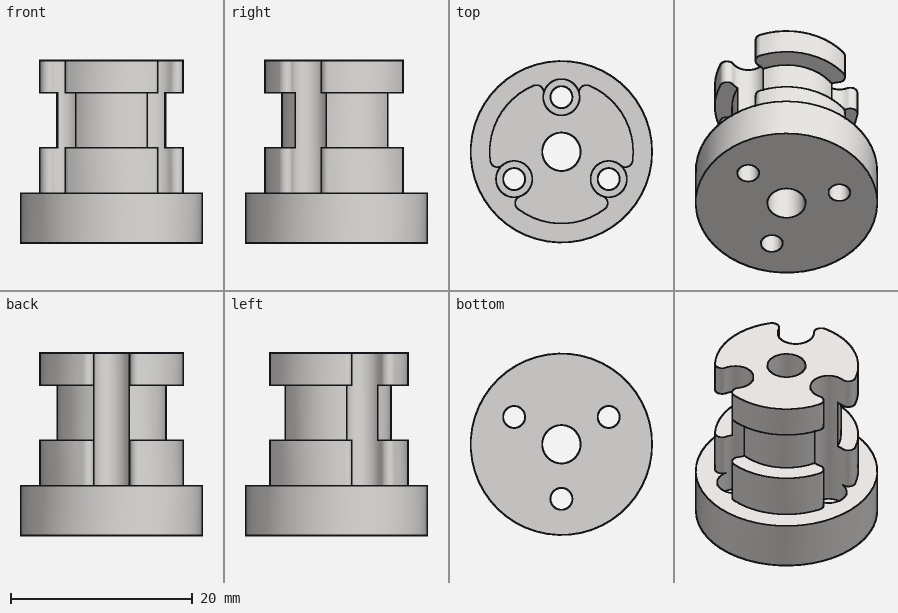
import cadquery as cq
import math

total_height = 20.1
base_diameter = 20.0
base_height = 5.5
flange_diameter = 15.8
lower_flange_height = 5.0
neck_diameter = 12.0
neck_height = 6.0
bore_diameter = 4.2
channel_count = 3
channel_diameter = 4.0
channel_pitch_radius = 6.0
screw_hole_diameter = 2.4
counterbore_depth = 2.5
lip_radius = 0.8

lower_flange_top = base_height + lower_flange_height
upper_flange_bottom = lower_flange_top + neck_height
upper_flange_height = total_height - upper_flange_bottom


def cylinder(diameter, bottom, height):
    """Cylinder on the Z axis, standing at the given level."""
    return cq.Workplane("XY").workplane(offset=bottom).circle(diameter / 2).extrude(height)


def polar(radius, angle):
    """Point at a radius and an angle in radians from the X axis."""
    return (radius * math.cos(angle), radius * math.sin(angle))


def toward(start, end, distance):
    """Point at a distance from start along the line to end."""
    ratio = distance / math.dist(start, end)
    return (start[0] + ratio * (end[0] - start[0]), start[1] + ratio * (end[1] - start[1]))


def channel_mouth():
    """Opening of the channel on +Y, flared by lips tangent to the channel and the rim."""
    rim_radius = flange_diameter / 2
    channel_radius = channel_diameter / 2
    channel_center = (0, channel_pitch_radius)

    from_axis = rim_radius - lip_radius
    from_channel = channel_radius + lip_radius
    lip_y = (from_axis**2 + channel_pitch_radius**2 - from_channel**2) / (2 * channel_pitch_radius)
    lip_x = math.sqrt(from_axis**2 - lip_y**2)
    lip = (lip_x, lip_y)

    on_channel = toward(lip, channel_center, lip_radius)
    on_rim = polar(rim_radius, math.atan2(lip_y, lip_x))
    halfway = ((on_channel[0] + on_rim[0]) / 2, (on_channel[1] + on_rim[1]) / 2)
    on_lip = toward(lip, halfway, lip_radius)

    def mirror(point):
        return (-point[0], point[1])

    channel_bottom = (0, channel_pitch_radius - channel_radius)
    outer_y = base_diameter / 2
    return (
        cq.Workplane("XY")
        .workplane(offset=base_height)
        .moveTo(*on_rim)
        .threePointArc(on_lip, on_channel)
        .threePointArc(channel_bottom, mirror(on_channel))
        .threePointArc(mirror(on_lip), mirror(on_rim))
        .lineTo(-on_rim[0], outer_y)
        .lineTo(on_rim[0], outer_y)
        .close()
        .extrude(total_height - base_height)
    )


def around_axis(body, tool):
    """Cut the +Y tool from the body once for every channel."""
    for index in range(channel_count):
        turn = index * 360 / channel_count
        body = body.cut(tool.rotate((0, 0, 0), (0, 0, 1), turn))
    return body


spool = (
    cylinder(flange_diameter, base_height, lower_flange_height)
    .union(cylinder(neck_diameter, lower_flange_top, neck_height))
    .union(cylinder(flange_diameter, upper_flange_bottom, upper_flange_height))
)
spool = around_axis(spool, channel_mouth())

result = cylinder(base_diameter, 0, base_height).union(spool)
result = result.cut(cylinder(bore_diameter, 0, total_height))

channel_floor = base_height - counterbore_depth
channel = cylinder(channel_diameter, channel_floor, total_height - channel_floor)
screw_hole = cylinder(screw_hole_diameter, 0, channel_floor)
for tool in (channel, screw_hole):
    result = around_axis(result, tool.translate((0, channel_pitch_radius, 0)))